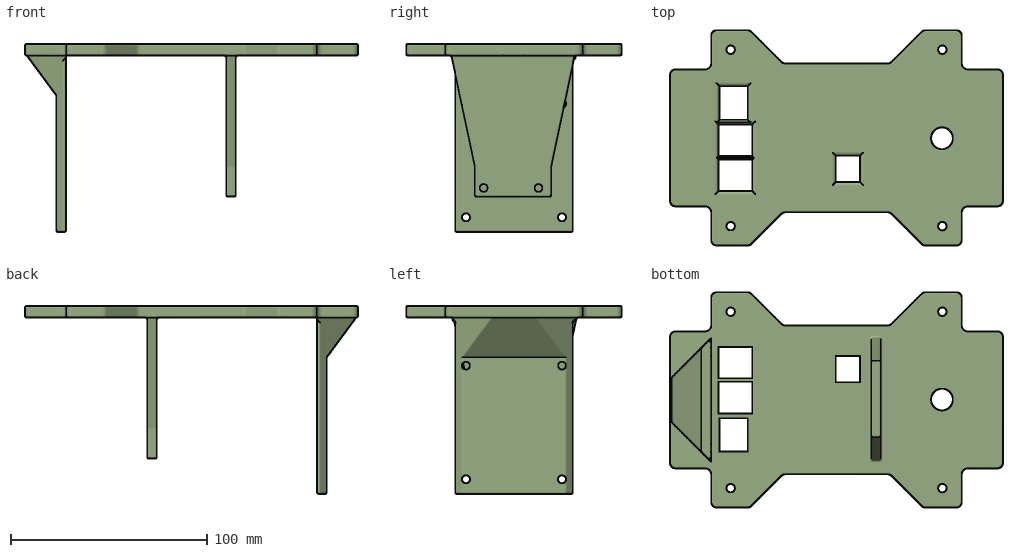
import cadquery as cq
import math

COS_45 = math.cos(math.radians(45))

PLATE_T = 6.0
PLATE_LENGTH = 170.0
PLATE_WIDTH = 110.0
END_WIDTH = 70.0
TAB_SPAN = 128.0
WAIST_WIDTH = 76.0
WAIST_LENGTH = 54.6
CORNER_R = 3.0
EDGE_R = 1.0

SCREW_HOLE_D = 4.2
SCREW_HOLE_X = 54.0
SCREW_HOLE_Y = 45.0

JACK_HOLE_D = 11.0
JACK_HOLE_X = 53.8
JACK_HOLE_Y = -0.2

WINDOW_R = 2.0
WINDOWS = (
    (-59.6, -45.4, 9.4, 26.3),
    (-60.1, -43.1, -9.2, 6.8),
    (-60.1, -43.1, -27.0, -11.1),
    (-0.3, 11.9, -22.4, -9.1),
)

PANEL_T = 5.0
PANEL_HOLE_D = 4.0

FRONT_BACK_X = -64.0
FRONT_FACE_WIDTH = 53.0
FRONT_DEPTH = 90.0
SHARP_DEPTH_BACK = 1.2
SHARP_DEPTH_SIDE = 2.6
GUSSET_RUN = 15.0
GUSSET_DEPTH = 20.3
FRONT_HOLE_PITCH_Y = 49.0
FRONT_HOLE_PITCH_Z = 58.0
FRONT_HOLE_BOTTOM = 7.5

REAR_X = 20.15
REAR_TOP_Y = (-32.0, 31.0)
REAR_FOOT_Y = (-20.0, 19.0)
REAR_TAPER_DEPTH = 56.5
REAR_DEPTH = 72.0
REAR_HOLE_INSET = 4.5
REAR_HOLE_PITCH = 28.0


def make_plate():
    """Plate with corner tabs, rounded corners and rounded rims."""
    end_x, end_y = PLATE_LENGTH / 2, END_WIDTH / 2
    tab_x, tab_y = TAB_SPAN / 2, PLATE_WIDTH / 2
    waist_x, waist_y = WAIST_LENGTH / 2, WAIST_WIDTH / 2
    tab_tip_x = waist_x + tab_y - waist_y
    quarter = [
        (end_x, end_y),
        (tab_x, end_y),
        (tab_x, tab_y),
        (tab_tip_x, tab_y),
        (waist_x, waist_y),
    ]
    upper = quarter + [(-x, y) for x, y in reversed(quarter)]
    outline = upper + [(x, -y) for x, y in reversed(upper)]
    plate = cq.Workplane("XY").polyline(outline).close().extrude(PLATE_T)
    plate = plate.edges("|Z").fillet(CORNER_R)
    return plate.faces("<Z or >Z").edges().fillet(EDGE_R)


def flared_slot(plane, low, high):
    """Long slot with walls at low and high that flare out in an arc to the top face."""
    arc_z = PLATE_T - WINDOW_R
    diagonal = WINDOW_R * (1 - COS_45)
    return (
        cq.Workplane(plane)
        .moveTo(low, 0)
        .lineTo(high, 0)
        .lineTo(high, arc_z)
        .threePointArc((high + diagonal, PLATE_T - diagonal), (high + WINDOW_R, PLATE_T))
        .lineTo(low - WINDOW_R, PLATE_T)
        .threePointArc((low - diagonal, PLATE_T - diagonal), (low, arc_z))
        .close()
        .extrude(PLATE_LENGTH, both=True)
    )


def window_cutter(x_min, x_max, y_min, y_max):
    """Rectangular opening with mitred, rounded upper rims."""
    return flared_slot("XZ", x_min, x_max).intersect(flared_slot("YZ", y_min, y_max))


def cut_plate_openings(plate):
    """Screw holes, jack hole with a rounded upper rim, and the windows."""
    plate = plate.cut(
        cq.Workplane("XY")
        .rect(2 * SCREW_HOLE_X, 2 * SCREW_HOLE_Y, forConstruction=True)
        .vertices()
        .circle(SCREW_HOLE_D / 2)
        .extrude(PLATE_T)
    )
    plate = plate.cut(
        cq.Workplane("XY").center(JACK_HOLE_X, JACK_HOLE_Y).circle(JACK_HOLE_D / 2).extrude(PLATE_T)
    )
    hole_reach = JACK_HOLE_D / 2 + EDGE_R
    jack_rim = cq.selectors.BoxSelector(
        (JACK_HOLE_X - hole_reach, JACK_HOLE_Y - hole_reach, PLATE_T - EDGE_R / 2),
        (JACK_HOLE_X + hole_reach, JACK_HOLE_Y + hole_reach, PLATE_T + EDGE_R / 2),
    )
    plate = plate.edges(jack_rim).fillet(EDGE_R)
    for window in WINDOWS:
        plate = plate.cut(window_cutter(*window))
    return plate


def panel_holes(x, points):
    """Cylinders along X through a panel, at the given (y, z) points."""
    return (
        cq.Workplane("YZ", origin=(x, 0, 0))
        .pushPoints(points)
        .circle(PANEL_HOLE_D / 2)
        .extrude(2 * PANEL_T, both=True)
    )


def make_front_panel():
    """Panel and gusset with 45 degree sides, edges rounded except next to the plate."""
    front_x = FRONT_BACK_X - PANEL_T
    tip_x = front_x - GUSSET_RUN
    back_half = FRONT_FACE_WIDTH / 2 + PANEL_T
    tip_half = FRONT_FACE_WIDTH / 2 - GUSSET_RUN
    profile = [
        (FRONT_BACK_X, 0),
        (tip_x, 0),
        (front_x, -GUSSET_DEPTH),
        (front_x, -FRONT_DEPTH),
        (FRONT_BACK_X, -FRONT_DEPTH),
    ]
    plan = [
        (FRONT_BACK_X, -back_half),
        (tip_x, -tip_half),
        (tip_x, tip_half),
        (FRONT_BACK_X, back_half),
    ]
    sharp = (
        cq.Workplane("XZ")
        .polyline(profile)
        .close()
        .extrude(back_half, both=True)
        .intersect(cq.Workplane("XY").polyline(plan).close().extrude(-FRONT_DEPTH))
    )

    crease = cq.selectors.BoxSelector(
        (front_x - EDGE_R, -back_half, -GUSSET_DEPTH - EDGE_R),
        (front_x + EDGE_R, back_half, -GUSSET_DEPTH + EDGE_R),
    )
    rounded = sharp.edges("not >Z").edges(cq.selectors.InverseSelector(crease)).fillet(EDGE_R)

    rounding_start_x = FRONT_BACK_X - EDGE_R * (1 + COS_45)
    sharp_zone = (
        cq.Workplane("XZ")
        .moveTo(FRONT_BACK_X, 0)
        .lineTo(FRONT_BACK_X, -SHARP_DEPTH_BACK)
        .lineTo(rounding_start_x, -SHARP_DEPTH_SIDE)
        .lineTo(rounding_start_x, 0)
        .close()
        .extrude(back_half, both=True)
    )
    body = rounded.union(sharp.intersect(sharp_zone))

    bottom_z = FRONT_HOLE_BOTTOM - FRONT_DEPTH
    half_pitch = FRONT_HOLE_PITCH_Y / 2
    points = [
        (y, z)
        for y in (-half_pitch, half_pitch)
        for z in (bottom_z, bottom_z + FRONT_HOLE_PITCH_Z)
    ]
    return body.cut(panel_holes(front_x, points))


def make_rear_panel():
    """Tapered panel, rounded on every edge except at the plate."""
    outline = [
        (REAR_TOP_Y[0], 0),
        (REAR_FOOT_Y[0], -REAR_TAPER_DEPTH),
        (REAR_FOOT_Y[0], -REAR_DEPTH),
        (REAR_FOOT_Y[1], -REAR_DEPTH),
        (REAR_FOOT_Y[1], -REAR_TAPER_DEPTH),
        (REAR_TOP_Y[1], 0),
    ]
    body = (
        cq.Workplane("YZ", origin=(REAR_X, 0, 0))
        .polyline(outline)
        .close()
        .extrude(PANEL_T / 2, both=True)
    )
    body = body.faces("<X or >X or <Z").edges("not >Z").fillet(EDGE_R)
    hole_z = REAR_HOLE_INSET - REAR_DEPTH
    first_hole_y = REAR_FOOT_Y[0] + REAR_HOLE_INSET
    points = [(first_hole_y, hole_z), (first_hole_y + REAR_HOLE_PITCH, hole_z)]
    return body.cut(panel_holes(REAR_X, points))


def blend_rear_panel(body):
    """Round the inside corner between the rear panel and the plate."""
    junction = cq.selectors.BoxSelector(
        (REAR_X - PANEL_T, REAR_TOP_Y[0] - EDGE_R, -EDGE_R / 2),
        (REAR_X + PANEL_T, REAR_TOP_Y[1] + EDGE_R, EDGE_R / 2),
    )
    return body.edges(junction).fillet(EDGE_R)


result = make_plate().union(make_rear_panel())
result = blend_rear_panel(result)
result = result.union(make_front_panel())
result = cut_plate_openings(result)